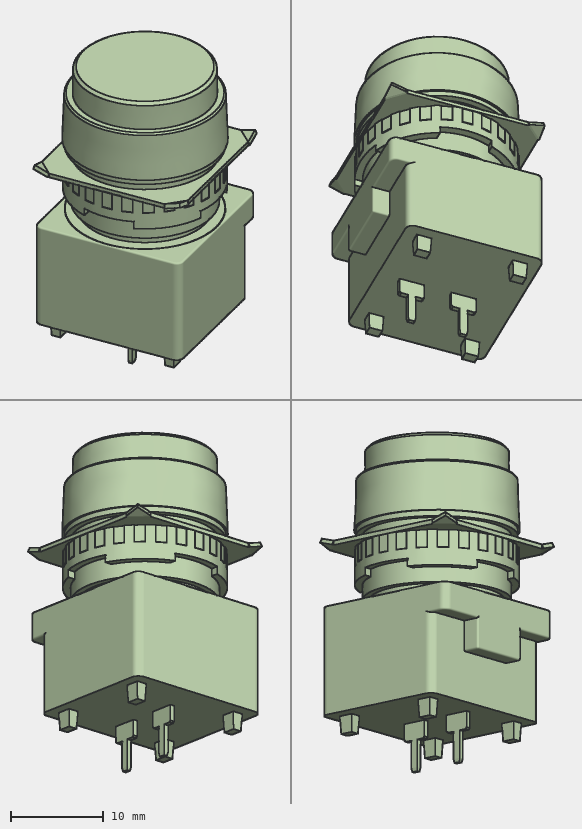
import cadquery as cq
import math


body_width = 17.77

block_top = 12.15
barrel_bottom = 13.15
nut_bottom = 14.8
nut_notch_top = 15.65
nut_slot_bottom = 16.78
ring_bottom = 18.73
ring_top = 19.22
seal_bottom = 20.3
bezel_bottom = 20.92
bezel_top = 26.62
button_top = 29.9

flange_radius = 8.65
flange_thickness = 0.53
neck_radius = 7.3
barrel_radius = 8.05
seal_radius = 8.75
bezel_bottom_radius = 8.95
bezel_top_radius = 8.75
bezel_chamfer = 0.2
button_base_radius = 7.82
button_rim_radius = 7.8
button_chamfer = 0.35

ring_thickness = ring_top - ring_bottom
corner_leg = 1.88
corner_bend_angle = 24

nut_radius = body_width / 2
slot_count = 24
slot_width = 1.2
slot_depth = 0.09
notch_width = 6.02

block_corner_radius = 0.9
block_edge_radius = 0.2
recess_clearance = 0.053
rear_step_depth = 1.95
head_bottom = 9.0
key_width = 7.08
key_bottom = 5.6

leg_length_x = 1.27
leg_length_y = 1.7
leg_height = 2.0
leg_taper = 3
leg_x_positions = (-7.0, 6.8)
leg_y_positions = (-6.6, 4.55)
terminal_thickness = 0.53
terminal_y_offset = 3.0
shoulder_width = 2.85
shoulder_chamfer = 0.18
pin_width = 0.9
pin_tip_z = -5.5
pin_tip_width = 0.7
pin_tip_thickness = 0.4
pin_tip_length = 0.42


def make_operator():
    """Button, bezel, barrel and flange as one turned profile of (radius, height) points."""
    profile = [
        (0, block_top - flange_thickness),
        (flange_radius, block_top - flange_thickness),
        (flange_radius, block_top),
        (neck_radius, block_top),
        (neck_radius, barrel_bottom),
        (barrel_radius, barrel_bottom),
        (barrel_radius, seal_bottom),
        (seal_radius, seal_bottom),
        (seal_radius, bezel_bottom),
        (bezel_bottom_radius, bezel_bottom),
        (bezel_top_radius, bezel_top - bezel_chamfer),
        (bezel_top_radius - bezel_chamfer, bezel_top),
        (button_base_radius, bezel_top),
        (button_rim_radius, button_top - button_chamfer),
        (button_rim_radius - button_chamfer, button_top),
        (0, button_top),
    ]
    return cq.Workplane("XZ").polyline(profile).close().revolve(360, (0, 0), (0, 1))


def make_bent_corner():
    """Corner of the lock ring at +X +Y, bent up about the top edge of its fold line."""
    fold_distance = (body_width - corner_leg) / math.sqrt(2)
    corner_reach = corner_leg / math.sqrt(2)
    bend = math.radians(corner_bend_angle)

    flap = (
        cq.Workplane("XY")
        .polyline([(0, -corner_reach), (corner_reach, 0), (0, corner_reach)])
        .close()
        .extrude(-ring_thickness)
        .rotate((0, 0, 0), (0, 1, 0), -corner_bend_angle)
    )
    wedge = (
        cq.Workplane("XZ")
        .polyline([
            (0, 0),
            (0, -ring_thickness),
            (ring_thickness * math.sin(bend), -ring_thickness * math.cos(bend)),
        ])
        .close()
        .extrude(corner_reach, both=True)
    )
    corner = flap.union(wedge).translate((fold_distance, 0, ring_top))
    return corner.rotate((0, 0, 0), (0, 0, 1), 45)


def make_lock_ring():
    """Square plate round the barrel, with its four corners bent up."""
    plate = (
        cq.Workplane("XY", origin=(0, 0, ring_bottom))
        .rect(body_width, body_width)
        .extrude(ring_thickness)
        .edges("|Z")
        .chamfer(corner_leg)
    )
    corner = make_bent_corner()
    for angle in (0, 90, 180, 270):
        plate = plate.union(corner.rotate((0, 0, 0), (0, 0, 1), angle))
    bore = cq.Workplane("XY", origin=(0, 0, ring_bottom)).circle(barrel_radius).extrude(ring_thickness)
    return plate.cut(bore)


def make_nut():
    """Round nut with grip slots round its top and four notches across its bottom."""
    nut = (
        cq.Workplane("XY", origin=(0, 0, nut_bottom))
        .circle(nut_radius)
        .circle(barrel_radius)
        .extrude(ring_bottom - nut_bottom)
    )
    slots = (
        cq.Workplane("XY", origin=(0, 0, nut_slot_bottom))
        .polarArray(nut_radius, 0, 360, slot_count)
        .rect(2 * slot_depth, slot_width)
        .extrude(ring_bottom - nut_slot_bottom)
    )
    nut = nut.cut(slots)
    notch_height = nut_notch_top - nut_bottom
    for lengths in ((2 * nut_radius, notch_width), (notch_width, 2 * nut_radius)):
        notch = cq.Workplane("XY", origin=(0, 0, nut_bottom)).rect(*lengths).extrude(notch_height)
        nut = nut.cut(notch)
    return nut


def make_block_housing():
    """Full-width head over a body that is stepped in at the rear, with a key under the overhang."""
    front_y = -body_width / 2
    rear_y = body_width / 2
    body_depth = body_width - rear_step_depth

    head = (
        cq.Workplane("XY", origin=(0, 0, head_bottom))
        .rect(body_width, body_width)
        .extrude(block_top - head_bottom)
        .edges("|Z")
        .fillet(block_corner_radius)
        .faces("<Z or >Z")
        .edges()
        .fillet(block_edge_radius)
    )
    body = (
        cq.Workplane("XY")
        .center(0, front_y + body_depth / 2)
        .rect(body_width, body_depth)
        .extrude(head_bottom + block_edge_radius)
        .edges("|Z")
        .fillet(block_corner_radius)
    )
    key_depth = rear_step_depth + block_corner_radius
    key = (
        cq.Workplane("XY", origin=(0, rear_y - key_depth / 2, key_bottom))
        .rect(key_width, key_depth)
        .extrude(head_bottom + block_edge_radius - key_bottom)
        .edges("(|Z and >Y) or (<Z and (not <Y))")
        .fillet(block_edge_radius)
    )
    return head.union(body).union(key)


def make_legs():
    """Four tapered support legs."""
    centres = [(x, y) for x in leg_x_positions for y in leg_y_positions]
    return (
        cq.Workplane("XY")
        .pushPoints(centres)
        .rect(leg_length_x, leg_length_y)
        .extrude(-leg_height, taper=leg_taper)
    )


def make_terminal(centre_y):
    """Flat terminal: a wide shoulder that narrows to a pin with a tapered tip."""
    shoulder = (
        cq.Workplane("XY", origin=(0, centre_y, 0))
        .rect(terminal_thickness, shoulder_width)
        .extrude(-leg_height)
        .edges("|X and <Z")
        .chamfer(shoulder_chamfer)
    )
    tip_start_z = pin_tip_z + pin_tip_length
    pin = (
        cq.Workplane("XY", origin=(0, centre_y, 0))
        .rect(terminal_thickness, pin_width)
        .extrude(tip_start_z)
    )
    tip = (
        cq.Workplane("XY", origin=(0, centre_y, tip_start_z))
        .rect(terminal_thickness, pin_width)
        .workplane(offset=-pin_tip_length)
        .rect(pin_tip_thickness, pin_tip_width)
        .loft()
    )
    return shoulder.union(pin).union(tip)


def make_contact_block():
    """Housing with its legs and terminals, recessed on top for the operator flange."""
    block = make_block_housing().union(make_legs())
    for centre_y in (-terminal_y_offset, terminal_y_offset):
        block = block.union(make_terminal(centre_y))
    recess_radius = flange_radius + recess_clearance
    recess = cq.Workplane("XY", origin=(0, 0, block_top)).circle(recess_radius).extrude(-flange_thickness)
    return block.cut(recess)


operator = make_operator()
lock_ring = make_lock_ring()
nut = make_nut()
contact_block = make_contact_block()

result = cq.Compound.makeCompound([
    operator.val(),
    lock_ring.val(),
    nut.val(),
    contact_block.val(),
])